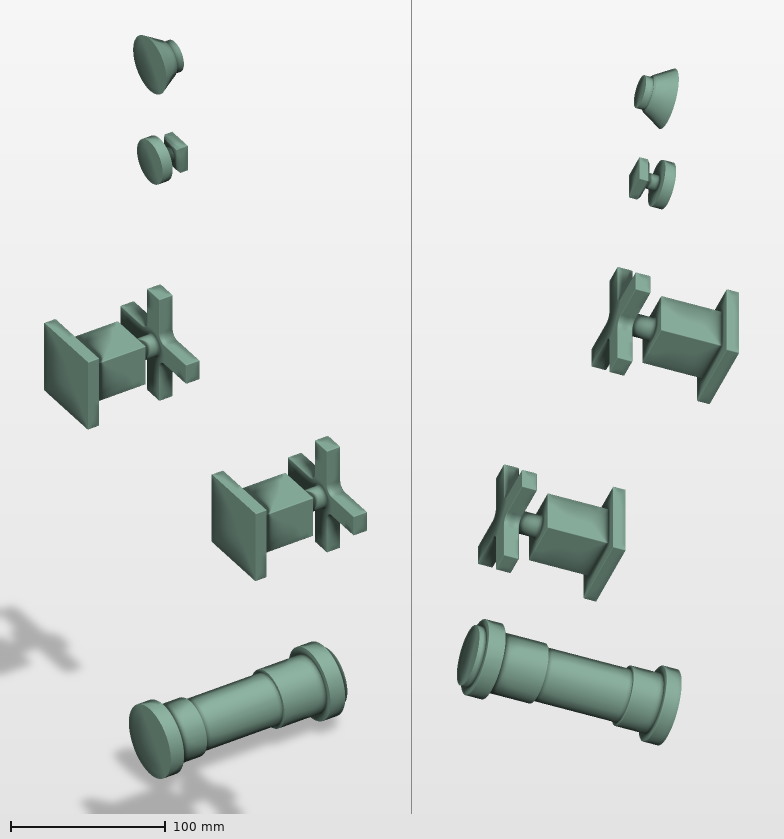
import cadquery as cq


edge_radius = 0.5

spout_flange_radius = 25.5
spout_collar_radius = 20.0
spout_tube_radius = 18.0
spout_front_flange_end = 10.5
spout_front_collar_end = 31.0
spout_tube_end = 90.5
spout_rear_flange_start = 122.0
spout_rear_flange_end = 134.0
spout_length = 138.5
spout_rounded_ends = (spout_front_flange_end, spout_front_collar_end, spout_rear_flange_end)

handle_spacing = 203.0
handle_height = 228.0
plate_side = 53.0
plate_end = 8.5
block_width = 34.0
block_height = 30.0
block_end = 50.5
stem_radius = 7.5
stem_fillet = 1.0
grip_start = 66.5
grip_end = 77.0
grip_span = 80.0
grip_arm_width = 15.0
grip_corner_radius = 6.0

button_height = 457.0
disc_radius = 15.5
disc_end = 7.5
neck_radius = 5.0
neck_end = 15.5
head_side = 19.0
head_end = 23.0
head_chamfer = 2.0

overall_height = 579.0
knob_radius = 20.0
knob_height = overall_height - spout_flange_radius - knob_radius
cone_small_radius = 13.0
cone_end = 13.0
rim_radius = 11.5
rim_end = 14.0
boss_radius = 11.0
boss_end = 19.0


def plane_at(x, y, z):
    """Workplane facing +Y, with its local X along the part's X."""
    return cq.Workplane(cq.Plane(origin=(x, y, z), xDir=(1, 0, 0), normal=(0, 1, 0)))


def disc(x, z, radius, start, end):
    """Round section between two Y positions."""
    return plane_at(x, start, z).circle(radius).extrude(end - start)


def bar(x, z, width, height, start, end):
    """Rectangular section between two Y positions."""
    return plane_at(x, start, z).rect(width, height).extrude(end - start)


def make_spout():
    steps = [
        (spout_flange_radius, spout_front_flange_end),
        (spout_collar_radius, spout_front_collar_end),
        (spout_tube_radius, spout_tube_end),
        (spout_collar_radius, spout_rear_flange_start),
        (spout_flange_radius, spout_rear_flange_end),
        (spout_collar_radius, spout_length),
    ]
    spout = cq.Workplane()
    start = 0
    for radius, end in steps:
        section = disc(0, 0, radius, start, end)
        if end in spout_rounded_ends:
            section = section.edges(">Y").fillet(edge_radius)
        spout = spout.union(section)
        start = end
    return spout


def make_grip(x):
    grip = bar(x, handle_height, grip_span, grip_arm_width, grip_start, grip_end)
    grip = grip.union(bar(x, handle_height, grip_arm_width, grip_span, grip_start, grip_end))
    half_arm = grip_arm_width / 2 + grip_corner_radius / 2
    inner_corners = cq.selectors.BoxSelector(
        (x - half_arm, grip_start, handle_height - half_arm),
        (x + half_arm, grip_end, handle_height + half_arm),
    )
    outer_corners = grip.edges("|Y").edges(cq.selectors.InverseSelector(inner_corners))
    grip = outer_corners.fillet(edge_radius)
    grip = grip.edges("|Y").edges(inner_corners).fillet(grip_corner_radius)
    return grip.faces("<Y or >Y").edges().fillet(edge_radius)


def make_handle(x):
    plate = bar(x, handle_height, plate_side, plate_side, 0, plate_end)
    plate = plate.edges("|Y or >Y").fillet(edge_radius)
    block = bar(x, handle_height, block_width, block_height, plate_end, block_end)
    block = block.edges("|Y or >Y").fillet(edge_radius)
    stem = disc(x, handle_height, stem_radius, block_end, grip_start)
    handle = plate.union(block).union(stem).union(make_grip(x))
    stem_ends = cq.selectors.BoxSelector(
        (x - block_width / 2, block_end - edge_radius, handle_height - stem_radius),
        (x + block_width / 2, grip_start + edge_radius, handle_height + stem_radius),
    )
    return handle.edges("%CIRCLE").edges(stem_ends).fillet(stem_fillet)


def make_button():
    face = disc(0, button_height, disc_radius, 0, disc_end)
    neck = disc(0, button_height, neck_radius, disc_end, neck_end)
    head = bar(0, button_height, head_side, head_side, neck_end, head_end)
    head = head.faces("<Y").edges().chamfer(head_chamfer)
    return face.union(neck).union(head)


def make_knob():
    profile = [
        (0, 0),
        (knob_radius, 0),
        (cone_small_radius, cone_end),
        (rim_radius, rim_end),
        (boss_radius, rim_end),
        (boss_radius, boss_end),
        (0, boss_end),
    ]
    knob = cq.Workplane("XY").polyline(profile).close().revolve(360, (0, 0), (0, 1))
    return knob.translate((0, 0, knob_height))


spout = make_spout()
handles = [make_handle(side * handle_spacing / 2) for side in (-1, 1)]
button = make_button()
knob = make_knob()

result = cq.Compound.makeCompound(
    [spout.val(), *[handle.val() for handle in handles], button.val(), knob.val()]
)